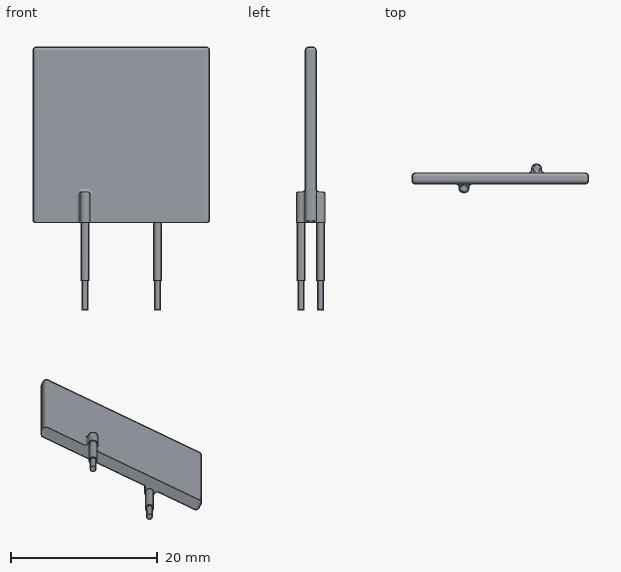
import cadquery as cq

total_height = 35.78
plate_width = 24.0
plate_thickness = 1.5
plate_bottom = 11.88
edge_radius = 0.5
lower_corner_radius = 0.4
overall_depth = 3.9

lead_x = 4.95
lead_y = 1.32
lead_diameter = 1.07
tip_diameter = 0.8
tip_length = 4.0

boss_radius = 0.68
boss_height = 4.2
boss_top_radius = 0.32
boss_root_radius = 0.45

plate_height = total_height - plate_bottom
half_thickness = plate_thickness / 2
boss_y = overall_depth / 2 - boss_radius


def plate_block():
    base = cq.Workplane("XY").workplane(offset=plate_bottom)
    return base.rect(plate_width, plate_thickness).extrude(plate_height)


def make_plate():
    """Plate rounded on its top and sides, with a sharp bottom edge between rounded lower corners."""
    rounded = plate_block().edges("(|Z) or (>Z)").fillet(edge_radius)
    corner_outline = plate_block().edges("|Y and <Z").fillet(lower_corner_radius)
    return rounded.intersect(corner_outline)


def make_boss():
    """Upright U-shaped boss on the -Y side, its flat back on the plate's middle plane."""
    return (
        cq.Workplane("XY")
        .workplane(offset=plate_bottom)
        .moveTo(-lead_x - boss_radius, 0)
        .lineTo(-lead_x - boss_radius, -boss_y)
        .threePointArc((-lead_x, -boss_y - boss_radius), (-lead_x + boss_radius, -boss_y))
        .lineTo(-lead_x + boss_radius, 0)
        .close()
        .extrude(boss_height)
        .faces(">Z")
        .edges("not >Y")
        .fillet(boss_top_radius)
    )


def make_lead():
    """Stepped round lead below the boss on the -Y side."""
    tip = cq.Workplane("XY").center(-lead_x, -lead_y).circle(tip_diameter / 2).extrude(tip_length)
    shank = (
        cq.Workplane("XY")
        .workplane(offset=tip_length)
        .center(-lead_x, -lead_y)
        .circle(lead_diameter / 2)
        .extrude(plate_bottom - tip_length)
    )
    return tip.union(shank)


def opposite(body):
    """The same body turned half a revolution to the other face of the plate."""
    return body.rotate((0, 0, 0), (0, 0, 1), 180)


def boss_root_edges(body):
    """Edges where the -Y boss meets the plate face, without the plate's own border."""
    margin = 0.05
    root_box = cq.selectors.BoxSelector(
        (-lead_x - boss_radius - margin, -half_thickness - margin, plate_bottom + margin),
        (-lead_x + boss_radius + margin, -half_thickness + margin, plate_bottom + boss_height + margin),
    )
    return body.edges(root_box)


boss = make_boss()
body = make_plate().union(boss).union(opposite(boss))
for _ in range(2):
    body = opposite(boss_root_edges(body).fillet(boss_root_radius))

lead = make_lead()
result = body.union(lead).union(opposite(lead))